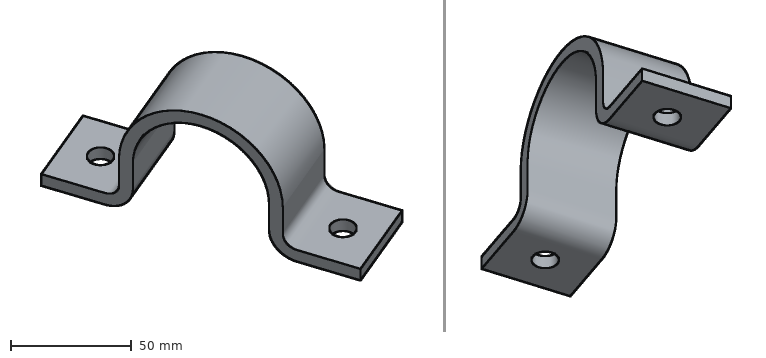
import cadquery as cq

overall_length = 145.26
strap_width = 41.27
overall_height = 64.2
thickness = 6.35
inner_radius = 30.95
inside_bend_radius = 6.35
hole_diameter = 11.3
hole_spacing = 110.3

outer_radius = inner_radius + thickness
outside_bend_radius = inside_bend_radius + thickness
half_length = overall_length / 2
arch_center_z = overall_height - outer_radius
foot_inner_x = outer_radius + inside_bend_radius
bend_top_z = outside_bend_radius


def strap_profile():
    """Closed outline of the strap in the XZ plane, with the feet resting on Z = 0."""
    return (
        cq.Workplane("XZ")
        .moveTo(-half_length, 0)
        .lineTo(-foot_inner_x, 0)
        .radiusArc((-inner_radius, bend_top_z), -outside_bend_radius)
        .lineTo(-inner_radius, arch_center_z)
        .threePointArc((0, arch_center_z + inner_radius), (inner_radius, arch_center_z))
        .lineTo(inner_radius, bend_top_z)
        .radiusArc((foot_inner_x, 0), -outside_bend_radius)
        .lineTo(half_length, 0)
        .lineTo(half_length, thickness)
        .lineTo(foot_inner_x, thickness)
        .radiusArc((outer_radius, bend_top_z), inside_bend_radius)
        .lineTo(outer_radius, arch_center_z)
        .threePointArc((0, overall_height), (-outer_radius, arch_center_z))
        .lineTo(-outer_radius, bend_top_z)
        .radiusArc((-foot_inner_x, thickness), inside_bend_radius)
        .lineTo(-half_length, thickness)
        .close()
    )


def bolt_holes():
    """One vertical cylinder per foot, on the centerline of the strap width."""
    return (
        cq.Workplane("XY")
        .pushPoints([(side * hole_spacing / 2, 0) for side in (-1, 1)])
        .circle(hole_diameter / 2)
        .extrude(thickness)
    )


strap = strap_profile().extrude(strap_width / 2, both=True)
result = strap.cut(bolt_holes())